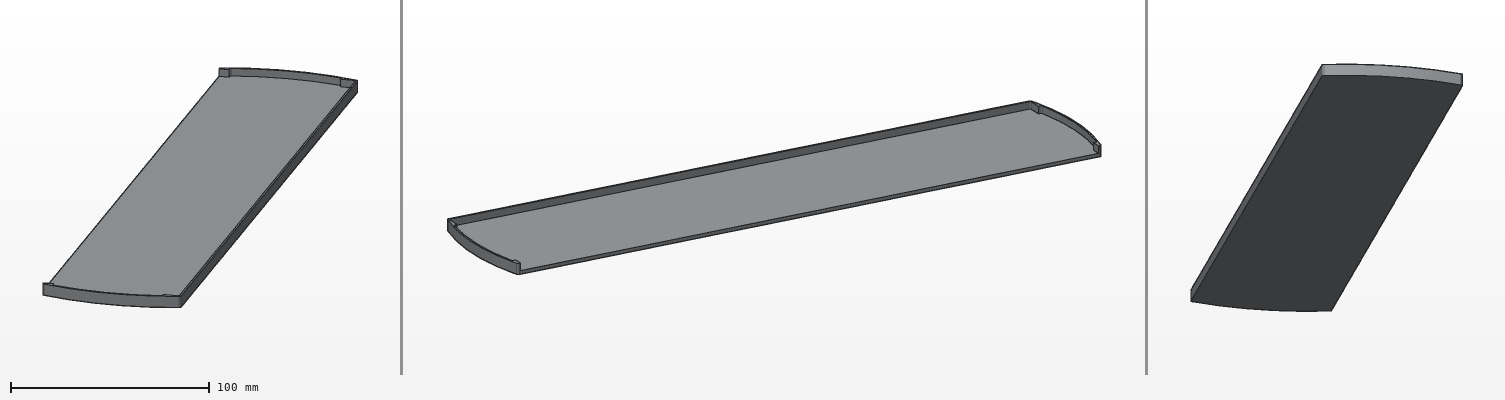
import cadquery as cq

WIDTH = 72.0
LENGTH = 347.0
HEIGHT = 6.0

END_BOW = 5.2

FLOOR_THICKNESS = 2.0
WALL = 1.0

OPEN_SIDE_PAD_WIDTH = 5.3
OPEN_SIDE_PAD_DEPTH = 1.5
WALLED_SIDE_PAD_WIDTH = 9.0
WALLED_SIDE_PAD_DEPTH = 0.5

CORNER_RADIUS = 1.2
RECESS_FILLET = 1.0

HALF_WIDTH = WIDTH / 2
HALF_LENGTH = LENGTH / 2
CORNER_Y = HALF_LENGTH - END_BOW
END_RADIUS = (HALF_WIDTH**2 + END_BOW**2) / (2 * END_BOW)
END_CENTER_Y = HALF_LENGTH - END_RADIUS


def end_arc_y(x, inset):
    """Y of the +Y end arc at x, moved inward by inset along its radius."""
    return END_CENTER_Y + ((END_RADIUS - inset) ** 2 - x**2) ** 0.5


def bowed_strip(x_min, x_max, inset, height):
    """Plate between x_min and x_max whose two ends follow the inset end arcs."""
    y_left = end_arc_y(x_min, inset)
    y_right = end_arc_y(x_max, inset)
    y_middle = HALF_LENGTH - inset
    return (
        cq.Workplane("XY")
        .moveTo(x_min, -y_left)
        .threePointArc((0, -y_middle), (x_max, -y_right))
        .lineTo(x_max, y_right)
        .threePointArc((0, y_middle), (x_min, y_left))
        .close()
        .extrude(height)
    )


def rectangle_block(x_min, x_max, half_length, height):
    """Block from x_min to x_max, centred along Y, standing on Z = 0."""
    return (
        cq.Workplane("XY")
        .box(x_max - x_min, 2 * half_length, height, centered=(False, True, False))
        .translate((x_min, 0, 0))
    )


def make_recess():
    """Space above the floor, bowed between the pads and open along the -X side."""
    depth = HEIGHT - FLOOR_THICKNESS
    pad_edge_left = -HALF_WIDTH + OPEN_SIDE_PAD_WIDTH
    pad_edge_right = HALF_WIDTH - WALLED_SIDE_PAD_WIDTH
    wall_face = HALF_WIDTH - WALL
    recess = bowed_strip(pad_edge_left, pad_edge_right, WALL, depth).edges("|Z").fillet(RECESS_FILLET)
    open_side = rectangle_block(-HALF_WIDTH, 0, CORNER_Y - OPEN_SIDE_PAD_DEPTH, depth)
    walled_side = rectangle_block(0, wall_face, CORNER_Y - WALLED_SIDE_PAD_DEPTH, depth)
    walled_side = walled_side.edges("|Z and >X").fillet(RECESS_FILLET)
    recess = recess.union(open_side).union(walled_side)
    return recess.translate((0, 0, FLOOR_THICKNESS))


body = bowed_strip(-HALF_WIDTH, HALF_WIDTH, 0, HEIGHT).edges("|Z").fillet(CORNER_RADIUS)
result = body.cut(make_recess())